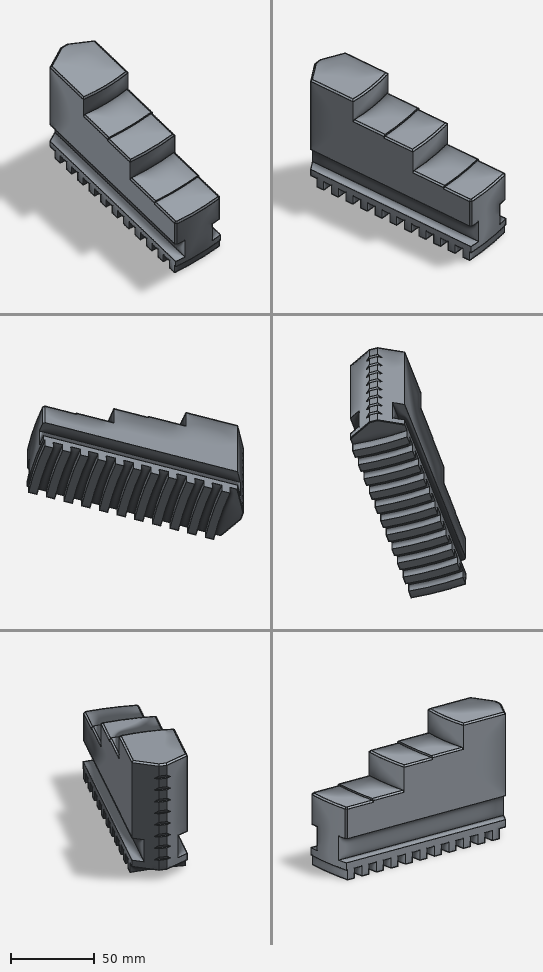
import cadquery as cq


length = 129.9
width = 34.0
height = 79.2
body_bottom = 6.4
edge_chamfer = 1.0
nose_chamfer = 0.4
nose_flat = 5.1
nose_length = 8.0

nose_step = (41.5, height, 1.3)
middle_lip = (64.2, 64.0, 0.8)
middle_step = (86.0, 62.9, 0.9)
rear_lip = (109.1, 47.0, 0.8)
rear_step = (length, 46.0, 0.9)

slot_bottom = 11.0
slot_top = 26.2
web_width = 20.8

serration_count = 8
first_serration = 13.4
last_serration = 69.4
serration_depth = 1.3
serration_height = 2.1

tooth_count = 11
first_tooth = 12.7
last_tooth = 122.8
tooth_length = 5.2
tooth_bulge = 0.8

half_width = width / 2


def evenly_spaced(first, last, count):
    pitch = (last - first) / (count - 1)
    return [first + i * pitch for i in range(count)]


def jaw_prism(rear, top, bulge):
    """Pointed plan outline with a curved rear face, raised from the body underside."""
    corner = rear - bulge
    return (
        cq.Workplane("XY", origin=(0, 0, body_bottom))
        .moveTo(0, -nose_flat / 2)
        .lineTo(nose_length, -half_width)
        .lineTo(corner, -half_width)
        .threePointArc((rear, 0), (corner, half_width))
        .lineTo(nose_length, half_width)
        .lineTo(0, nose_flat / 2)
        .close()
        .extrude(top - body_bottom)
    )


def step(size):
    """Step with its whole top rim chamfered."""
    return jaw_prism(*size).faces(">Z").edges().chamfer(edge_chamfer)


def lip(size):
    """Raised strip chamfered along its sides only, so its rear edge stays sharp."""
    return jaw_prism(*size).faces(">Z").edges("|X").chamfer(edge_chamfer)


def rear_end():
    """Lowest step, with the upright rear corners chamfered above the guide slots."""
    rear, top, bulge = rear_step
    upper = jaw_prism(*rear_step).edges("|Z").edges(">X").chamfer(edge_chamfer)
    upper = upper.faces(">Z").edges().chamfer(edge_chamfer)
    base = jaw_prism(rear, slot_top, bulge)
    return upper.union(base)


def nose_underside_edges():
    """Box around the midpoints of the three bottom edges that outline the nose."""
    margin = 0.1
    return cq.selectors.BoxSelector(
        (-margin, -half_width, body_bottom - margin),
        (nose_length, half_width, body_bottom + margin),
    )


def guide_slot(side):
    """Straight channel along one side; side is -1 or 1 for the -Y or +Y side."""
    depth = (width - web_width) / 2
    middle = side * (web_width + depth) / 2
    return (
        cq.Workplane("XY", origin=(0, middle, slot_bottom))
        .box(length, depth, slot_top - slot_bottom, centered=(False, True, False))
    )


def serration(ledge):
    """Notch with a flat ledge below and a sloping face above."""
    return (
        cq.Workplane("XZ")
        .polyline([(0, ledge), (serration_depth, ledge), (0, ledge + serration_height)])
        .close()
        .extrude(half_width, both=True)
    )


def tooth(front):
    """Full-width tooth whose front and rear faces both curve toward +X."""
    back = front + tooth_length
    return (
        cq.Workplane("XY")
        .moveTo(front, -half_width)
        .lineTo(back, -half_width)
        .threePointArc((back + tooth_bulge, 0), (back, half_width))
        .lineTo(front, half_width)
        .threePointArc((front + tooth_bulge, 0), (front, -half_width))
        .close()
        .extrude(body_bottom)
    )


result = rear_end().union(lip(rear_lip)).union(step(middle_step))
result = result.union(lip(middle_lip)).union(step(nose_step))
result = result.edges(nose_underside_edges()).chamfer(nose_chamfer)

for side in (-1, 1):
    result = result.cut(guide_slot(side))

for ledge in evenly_spaced(first_serration, last_serration, serration_count):
    result = result.cut(serration(ledge))

for front in evenly_spaced(first_tooth, last_tooth, tooth_count):
    result = result.union(tooth(front))